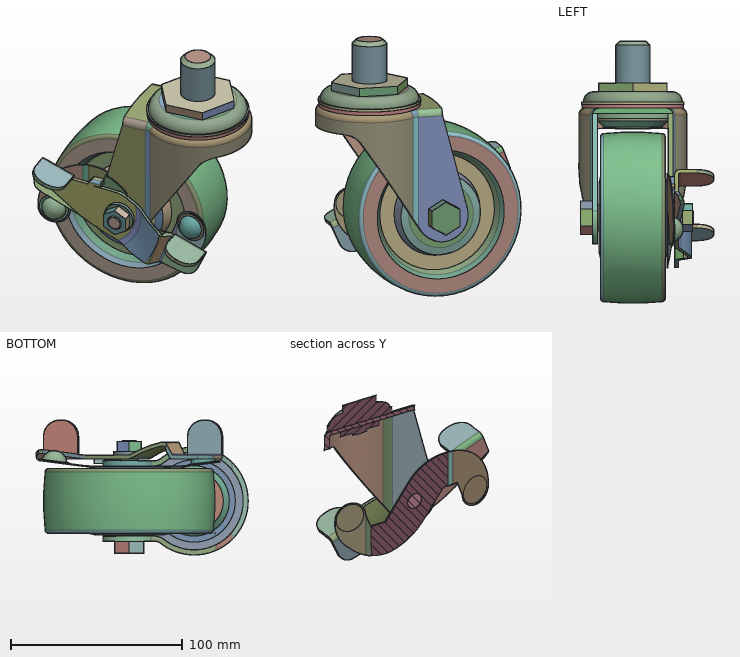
import cadquery as cq
import math


wheel_radius = 50.0
axle_radius = 5.0
swivel_x = 37.85
sheet = 3.0
fork_half_width = 23.5
fork_top_z = 63.8
fork_inner_y = fork_half_width - sheet
fork_ceiling_z = fork_top_z - sheet


tread_edge_radius = 49.1
tread_edge_y = 17.0
rim_side_y = 18.95
rim_side_radius = 46.9
tread_shoulder_radius = 48.4
tread_shoulder_y = 18.4
recess_radius = 38.4
recess_lip_radius = 36.5
recess_lip_y = 15.8
web_radius = 34.6
web_y = 11.0
hub_root_radius = 26.0
hub_shoulder_radius = 24.0
hub_shoulder_y = 18.9
hub_face_radius = 19.5
hub_face_y = 19.85
spacer_radius = 7.8


def make_wheel():
    profile = (
        cq.Workplane("ZY")
        .moveTo(0, -hub_face_y)
        .lineTo(hub_face_radius, -hub_face_y)
        .lineTo(hub_shoulder_radius, -hub_shoulder_y)
        .lineTo(hub_root_radius, -web_y)
        .lineTo(web_radius, -web_y)
        .lineTo(recess_lip_radius, -recess_lip_y)
        .lineTo(recess_radius, -rim_side_y)
        .lineTo(rim_side_radius, -rim_side_y)
        .threePointArc((tread_shoulder_radius, -tread_shoulder_y), (tread_edge_radius, -tread_edge_y))
        .threePointArc((wheel_radius, 0), (tread_edge_radius, tread_edge_y))
        .threePointArc((tread_shoulder_radius, tread_shoulder_y), (rim_side_radius, rim_side_y))
        .lineTo(recess_radius, rim_side_y)
        .lineTo(recess_lip_radius, recess_lip_y)
        .lineTo(web_radius, web_y)
        .lineTo(hub_root_radius, web_y)
        .lineTo(hub_shoulder_radius, hub_shoulder_y)
        .lineTo(hub_face_radius, hub_face_y)
        .lineTo(0, hub_face_y)
        .close()
    )
    body = profile.revolve(360, (0, 0, 0), (0, 1, 0))
    spacer = cq.Workplane("XZ", origin=(0, fork_inner_y, 0)).circle(spacer_radius).extrude(fork_inner_y)
    return body.union(spacer).cut(axle_bore())


def axle_bore():
    reach = 60.0
    return cq.Workplane("XZ").circle(axle_radius).extrude(reach, both=True)


skirt_radius = 31.55
skirt_bottom_z = 52.0
skirt_corner_radius = 11.0
leg_end_radius = 15.3
leg_bend_radius = 5.5
crown_bend_radius = 3.8
crown_front_x = -1.5
crown_corner_x = 0.2
front_edge_angle = math.radians(14.8)
rear_edge_angle = math.radians(34.3)
stud_radius = 10.1


def fork_block(inset, top_z):
    """Solid inside the fork's plan outline, drawn in by `inset`."""
    half_width = fork_half_width - inset
    radius = skirt_radius - inset
    front_x = -2 * leg_end_radius
    bottom_z = -2 * leg_end_radius
    joint_x = swivel_x - math.sqrt(radius**2 - half_width**2)
    block = (
        cq.Workplane("XY", origin=(0, 0, bottom_z))
        .moveTo(front_x, -half_width)
        .lineTo(joint_x, -half_width)
        .threePointArc((swivel_x + radius, 0), (joint_x, half_width))
        .lineTo(front_x, half_width)
        .close()
        .extrude(top_z - bottom_z)
    )
    return block.edges("|Z and (not <X)").fillet(leg_bend_radius + inset)


def tangent_point(angle):
    """Point on the round leg end where an edge leaning by `angle` from vertical touches it."""
    return (leg_end_radius * math.cos(angle), -leg_end_radius * math.sin(angle))


def fork_side_outline():
    """Side outline: edges tangent to the round leg end, level skirt bottom, vertical back."""
    rear_tangent = tangent_point(rear_edge_angle)
    opposite_front = tangent_point(front_edge_angle)
    front_tangent = (-opposite_front[0], -opposite_front[1])
    front_top_x = front_tangent[0] + (fork_ceiling_z - front_tangent[1]) * math.tan(front_edge_angle)
    rear_top_x = rear_tangent[0] + (skirt_bottom_z - rear_tangent[1]) * math.tan(rear_edge_angle)
    back_x = swivel_x + skirt_radius
    outline = (
        cq.Workplane("XZ", origin=(0, skirt_radius, 0))
        .moveTo(crown_front_x, fork_top_z)
        .lineTo(crown_front_x, fork_ceiling_z)
        .lineTo(front_top_x, fork_ceiling_z)
        .lineTo(*front_tangent)
        .threePointArc((0, -leg_end_radius), rear_tangent)
        .lineTo(rear_top_x, skirt_bottom_z)
        .lineTo(back_x, skirt_bottom_z)
        .lineTo(back_x, fork_top_z)
        .close()
        .extrude(2 * skirt_radius)
    )
    corner = cq.selectors.NearestToPointSelector((rear_top_x, 0, skirt_bottom_z))
    return outline.edges("|Y").edges(corner).fillet(skirt_corner_radius)


def make_fork():
    shell = fork_block(0, fork_top_z).edges(">Z and (not <X)").fillet(crown_bend_radius)
    shell = shell.cut(fork_block(sheet, fork_ceiling_z))
    fork = shell.intersect(fork_side_outline())
    crown_trim = (
        cq.Workplane("XY", origin=(0, 0, fork_ceiling_z))
        .moveTo(crown_corner_x, -fork_half_width)
        .threePointArc((crown_front_x, 0), (crown_corner_x, fork_half_width))
        .lineTo(-leg_end_radius, fork_half_width)
        .lineTo(-leg_end_radius, -fork_half_width)
        .close()
        .extrude(sheet)
    )
    stud_hole = cq.Workplane("XY", origin=(swivel_x, 0, skirt_bottom_z)).circle(stud_radius)
    stud_hole = stud_hole.extrude(skirt_bottom_z)
    return fork.cut(crown_trim).cut(stud_hole).cut(axle_bore())


stud_top_z = 102.99
stud_chamfer_height = 2.4
stud_tip_radius = 7.5
hex_top_z = 78.4
hex_flats = 40.0
hex_turn = 30
cap_top_z = 73.5
cap_top_radius = 22.6
cap_dome_radius = 28.9
cap_dome_z = 67.5
cap_flange_radius = 29.9
cap_flange_z = 66.0
cap_neck_radius = 29.6
race_ring_radius = 24.0
race_ring_z = 57.7
race_radius = 20.5
race_taper_z = 56.5
race_bottom_radius = 17.0
race_bottom_z = 53.0
stud_bottom_z = 51.8


def make_swivel_stud():
    diagonal = 1 / math.sqrt(2)
    dome_mid = (
        cap_top_radius + (cap_dome_radius - cap_top_radius) * diagonal,
        cap_dome_z + (cap_top_z - cap_dome_z) * diagonal,
    )
    turned = (
        cq.Workplane("XZ")
        .moveTo(0, stud_bottom_z)
        .lineTo(stud_radius, stud_bottom_z)
        .lineTo(stud_radius, race_bottom_z)
        .lineTo(race_bottom_radius, race_bottom_z)
        .lineTo(race_radius, race_taper_z)
        .lineTo(race_radius, race_ring_z)
        .lineTo(race_ring_radius, race_ring_z)
        .lineTo(race_ring_radius, fork_ceiling_z)
        .lineTo(stud_radius, fork_ceiling_z)
        .lineTo(stud_radius, fork_top_z)
        .lineTo(cap_neck_radius, fork_top_z)
        .lineTo(cap_neck_radius, cap_flange_z)
        .lineTo(cap_flange_radius, cap_flange_z)
        .lineTo(cap_flange_radius, cap_dome_z)
        .lineTo(cap_dome_radius, cap_dome_z)
        .threePointArc(dome_mid, (cap_top_radius, cap_top_z))
        .lineTo(stud_radius, cap_top_z)
        .lineTo(stud_radius, stud_top_z - stud_chamfer_height)
        .lineTo(stud_tip_radius, stud_top_z)
        .lineTo(0, stud_top_z)
        .close()
        .revolve(360, (0, 0, 0), (0, 1, 0))
    )
    hexagon = cq.Workplane("XY", origin=(0, 0, cap_top_z)).polygon(6, hex_flats, circumscribed=True)
    hexagon = hexagon.extrude(hex_top_z - cap_top_z).rotate((0, 0, 0), (0, 0, 1), hex_turn)
    return turned.union(hexagon).translate((swivel_x, 0, 0))


head_flats = 17.1
head_height = 7.1
nut_flats = 14.1
nut_end_y = -34.8
washer_radius = 9.05
washer_thickness = 2.2
axle_end_y = -35.3
axle_tip_radius = 3.7
axle_tip_chamfer = 1.0

pedal_sheet = 2.3
pedal_inner_y = -24.4
pedal_outer_y = pedal_inner_y - pedal_sheet


def axle_hexagon(flats, start_y, length):
    """Hexagon with corners up and down, running toward -Y from start_y."""
    hexagon = cq.Workplane("XZ", origin=(0, start_y, 0)).polygon(6, flats, circumscribed=True)
    return hexagon.extrude(length)


def make_axle():
    shank = cq.Workplane("XZ", origin=(0, fork_half_width, 0)).circle(axle_radius)
    shank = shank.extrude(fork_half_width - axle_end_y)
    shank = shank.faces("<Y").chamfer(axle_tip_chamfer, axle_radius - axle_tip_radius)
    washer = cq.Workplane("XZ", origin=(0, pedal_outer_y, 0)).circle(washer_radius).extrude(washer_thickness)
    nut_start_y = pedal_outer_y - washer_thickness
    head = axle_hexagon(head_flats, fork_half_width + head_height, head_height)
    nut = axle_hexagon(nut_flats, nut_start_y, nut_start_y - nut_end_y)
    return shank.union(head).union(washer).union(nut)


pedal_tilt = 20.8
pedal_left = -56.0
pedal_right = 55.0
tab_width = 21.2
pedal_reach = 20.0
tab_top = 8.8
tab_end_y = -47.15
tab_end_radius = 9.8
tab_bend_radius = 3.0
tab_root = tab_top - tab_bend_radius
bulge_center = (-14.5, -1.0)
bulge_start_radius = 24.3
bulge_bend_mid = (26.2, -27.15)
bulge_bend_end = (27.8, -28.0)
bulge_mid = (34.5, -31.6)
bulge_top_radius = 42.5
ridge_crest = 28.1
ridge_bend_radius = 1.4
ridge_end = 32.4
ridge_y = -34.3
flap_slope = 0.8


def inner_face(outer_point):
    return (outer_point[0], outer_point[1] + pedal_sheet)


def bulged_sheet():
    """Sheet that is flat round the axle and swells outward up to the ridge crest."""
    outer_radius = 60.0
    sheet_section = (
        cq.Workplane("XY")
        .moveTo(0, pedal_outer_y)
        .lineTo(bulge_start_radius, pedal_outer_y)
        .threePointArc(bulge_bend_mid, bulge_bend_end)
        .threePointArc(bulge_mid, (bulge_top_radius, ridge_y))
        .lineTo(outer_radius, ridge_y)
        .lineTo(outer_radius, ridge_y + pedal_sheet)
        .lineTo(bulge_top_radius, ridge_y + pedal_sheet)
        .threePointArc(inner_face(bulge_mid), inner_face(bulge_bend_end))
        .threePointArc(inner_face(bulge_bend_mid), (bulge_start_radius, pedal_inner_y))
        .lineTo(0, pedal_inner_y)
        .close()
    )
    swept = sheet_section.revolve(360, (0, 0, 0), (0, 1, 0)).translate((bulge_center[0], 0, bulge_center[1]))
    depth = pedal_inner_y - ridge_y
    width = 2 * pedal_reach
    bulge_box = cq.Workplane("XY").box(ridge_crest, depth, width, centered=(False, False, True))
    flat_box = cq.Workplane("XY").box(-pedal_left, pedal_sheet, width, centered=(False, False, True))
    bulge = swept.intersect(bulge_box.translate((0, ridge_y, 0)))
    return bulge.union(flat_box.translate((pedal_left, pedal_outer_y, 0)))


def ridge_return():
    """Steep wall from the ridge crest back to the flat end of the pedal."""
    wall_run = ridge_end - ridge_crest
    wall_rise = pedal_outer_y - ridge_y
    wall_width = pedal_sheet * math.hypot(wall_run, wall_rise) / wall_rise
    inner_crest_y = ridge_y + wall_width * wall_rise / wall_run
    inner_end = ridge_crest + (pedal_inner_y - inner_crest_y) * wall_run / wall_rise
    wall = (
        cq.Workplane("XY", origin=(0, 0, -pedal_reach))
        .moveTo(ridge_crest, ridge_y)
        .lineTo(ridge_end, pedal_outer_y)
        .lineTo(pedal_right, pedal_outer_y)
        .lineTo(pedal_right, pedal_inner_y)
        .lineTo(inner_end, pedal_inner_y)
        .lineTo(ridge_crest, inner_crest_y)
        .close()
        .extrude(2 * pedal_reach)
    )
    base = cq.selectors.NearestToPointSelector((ridge_end, pedal_outer_y, 0))
    return wall.edges("|Z").edges(base).fillet(ridge_bend_radius)


flap_bend_start = (pedal_left, -4.9)
flap_bend_end = (-21.6, -14.2)


def pedal_outline():
    depth = 20.0
    return (
        cq.Workplane("XZ", origin=(0, pedal_inner_y + 1, 0))
        .moveTo(pedal_left, tab_root)
        .lineTo(*flap_bend_start)
        .lineTo(*flap_bend_end)
        .threePointArc((5.4, -16.2), (28.6, -14.5))
        .lineTo(47.5, -12.9)
        .threePointArc((52.6, -9.7), (54.3, -4.1))
        .lineTo(pedal_right, tab_root)
        .lineTo(pedal_right - tab_width, tab_root)
        .lineTo(24.6, tab_top)
        .lineTo(-0.8, 13.7)
        .threePointArc((-4.0, 14.1), (-7.1, 13.7))
        .lineTo(pedal_left + tab_width, tab_root)
        .close()
        .extrude(depth)
    )


def foot_tab(start_x):
    """Tab bent outward from the pedal's upper edge, with a rounded end."""
    bend_y = pedal_inner_y - tab_bend_radius
    inner_bend_radius = tab_bend_radius - pedal_sheet
    tab = (
        cq.Workplane("YZ", origin=(start_x, 0, 0))
        .moveTo(pedal_inner_y, tab_root)
        .radiusArc((bend_y, tab_top), -tab_bend_radius)
        .lineTo(tab_end_y, tab_top)
        .lineTo(tab_end_y, tab_top - pedal_sheet)
        .lineTo(bend_y, tab_top - pedal_sheet)
        .radiusArc((pedal_outer_y, tab_root), inner_bend_radius)
        .close()
        .extrude(tab_width)
    )
    return tab.edges("|Z and <Y").fillet(tab_end_radius)


def corner_flap():
    """Corner of the pedal folded outward along a slanted bend line."""
    run_x = flap_bend_end[0] - flap_bend_start[0]
    run_z = flap_bend_end[1] - flap_bend_start[1]
    bend_length = math.hypot(run_x, run_z)
    corners = [flap_bend_start, (-55.35, -7.0), (-53.0, -9.7), (-50.0, -10.8), flap_bend_end]
    points = []
    for x, z in corners:
        offset = ((z - flap_bend_start[1]) * run_x - (x - flap_bend_start[0]) * run_z) / bend_length
        points.append(cq.Vector(x, pedal_inner_y + flap_slope * offset, z))
    outline = cq.Wire.makePolygon(points, close=True)
    return cq.Workplane(cq.Solid.extrudeLinear(outline, [], cq.Vector(0, -pedal_sheet, 0)))


lug_bend_radius = 1.6
lug_chamfer = 1.8


def stop_lug():
    """Lug bent inward from the pedal's upper edge, beside the front edge of the fork leg."""
    lug_size = (8.0, 5.0, 3.1)
    lug_corner = (-20.4, pedal_outer_y, 16.6)
    lug = cq.Workplane("XY").box(*lug_size, centered=False).translate(lug_corner)
    lug = lug.edges("|Y and <X and >Z").chamfer(lug_chamfer)
    return lug.edges("|X and <Y and >Z").fillet(lug_bend_radius)


def make_pedal():
    plate = bulged_sheet().union(ridge_return())
    crest = cq.selectors.NearestToPointSelector((ridge_crest, ridge_y, 0))
    plate = plate.edges(crest).fillet(ridge_bend_radius).intersect(pedal_outline())
    for start_x in (pedal_left, pedal_right - tab_width):
        plate = plate.union(foot_tab(start_x))
    plate = plate.union(corner_flap()).rotate((0, 0, 0), (0, 1, 0), pedal_tilt)
    return plate.union(stop_lug()).cut(axle_bore())


spring_inner_y = -hub_face_y
spring_outer_y = -fork_inner_y
spring_left_bend = 24.7
spring_right_bend = 31.5
spring_bend_radius = 29.0
spring_half_length = 60.0
spring_slope = 0.13
clip_sheet = 0.8
pad_centers = [(-43.6, -6.8), (43.1, 0.5)]
pad_disc_radius = 9.7
pad_rim_radius = 8.8
pad_rim_height = 0.4
dome_radius = 7.3
dome_height = 6.4


def spring_bend_profile():
    reach = 60.0
    left_rise = spring_slope * (spring_half_length - spring_left_bend)
    right_rise = spring_slope * (spring_half_length - spring_right_bend)
    profile = (
        cq.Workplane("XY", origin=(0, 0, -reach))
        .moveTo(-spring_half_length, spring_inner_y - left_rise)
        .lineTo(-spring_left_bend, spring_inner_y)
        .lineTo(spring_right_bend, spring_inner_y)
        .lineTo(spring_half_length, spring_inner_y - right_rise)
        .lineTo(spring_half_length, spring_outer_y - right_rise)
        .lineTo(spring_right_bend, spring_outer_y)
        .lineTo(-spring_left_bend, spring_outer_y)
        .lineTo(-spring_half_length, spring_outer_y - left_rise)
        .close()
        .extrude(2 * reach)
    )
    return profile.edges("|Z and (not <X) and (not >X)").fillet(spring_bend_radius)


def fork_clip():
    """Fold of the spring that wraps round the front edge of the near fork leg."""
    low_z = 8.0
    high_z = 30.0
    right_x = 3.0
    edge_offset = -(leg_end_radius + clip_sheet) / math.cos(front_edge_angle)
    left_x = [edge_offset + z * math.tan(front_edge_angle) for z in (low_z, high_z)]
    block = (
        cq.Workplane("XZ", origin=(0, spring_inner_y, 0))
        .moveTo(left_x[0], low_z)
        .lineTo(left_x[1], high_z)
        .lineTo(right_x, high_z)
        .lineTo(right_x, low_z)
        .close()
        .extrude(spring_inner_y + fork_half_width + clip_sheet)
    )
    leg_slab = cq.Workplane("XZ", origin=(0, -fork_inner_y, 0)).rect(4 * high_z, 4 * high_z).extrude(sheet)
    leg = fork_side_outline().intersect(leg_slab)
    return block.intersect(spring_outline()).cut(leg)


def spring_outline():
    depth = 12.0
    left_x, left_z = pad_centers[0]
    right_x, right_z = pad_centers[1]
    band = (
        cq.Workplane("XZ", origin=(0, spring_inner_y + 1, 0))
        .moveTo(left_x - pad_disc_radius, left_z)
        .threePointArc((-50.4, 7.5), (-34.5, 22.7))
        .threePointArc((-18.2, 25.6), (4.1, 13.3))
        .lineTo(20, -8)
        .lineTo(30, -8)
        .lineTo(right_x - pad_disc_radius, right_z)
        .lineTo(right_x + pad_disc_radius, right_z)
        .threePointArc((51.5, -8.9), (44, -19))
        .threePointArc((32.2, -27.0), (18.2, -29.4))
        .threePointArc((4.1, -24.1), (-5.3, -15.9))
        .lineTo(-20, 3)
        .lineTo(-30, 3)
        .lineTo(left_x + pad_disc_radius, left_z)
        .close()
        .extrude(depth)
    )
    discs = cq.Workplane("XZ", origin=(0, spring_inner_y + 1, 0)).pushPoints(pad_centers)
    return band.union(discs.circle(pad_disc_radius).extrude(depth))


def brake_pad(x, z):
    """Domed pad standing on the outside of a leaning arm."""
    cap_height = dome_height - pad_rim_height
    sphere_radius = (dome_radius**2 + cap_height**2) / (2 * cap_height)
    mid_x = sphere_radius / math.sqrt(2)
    mid_y = dome_height - sphere_radius + mid_x
    pad = (
        cq.Workplane("XZ")
        .lineTo(pad_rim_radius, 0)
        .lineTo(pad_rim_radius, pad_rim_height)
        .lineTo(dome_radius, pad_rim_height)
        .threePointArc((mid_x, mid_y), (0, dome_height))
        .close()
        .revolve(360, (0, 0, 0), (0, 1, 0))
    )
    side = math.copysign(1, x)
    bend = spring_left_bend if x < 0 else spring_right_bend
    arm_y = spring_outer_y - spring_slope * (abs(x) - bend)
    seat = cq.Plane(origin=(x, arm_y, z), xDir=(0, 0, 1), normal=(-side * spring_slope, -1, 0))
    return cq.Workplane(pad.val().moved(seat.location))


def make_brake_spring():
    spring = spring_bend_profile().intersect(spring_outline()).union(fork_clip())
    for x, z in pad_centers:
        spring = spring.union(brake_pad(x, z))
    return spring.cut(axle_bore())


wheel = make_wheel()
fork = make_fork()
swivel_stud = make_swivel_stud()
axle = make_axle()
pedal = make_pedal()
brake_spring = make_brake_spring()

result = cq.Compound.makeCompound(
    [wheel.val(), fork.val(), swivel_stud.val(), axle.val(), pedal.val(), brake_spring.val()]
)